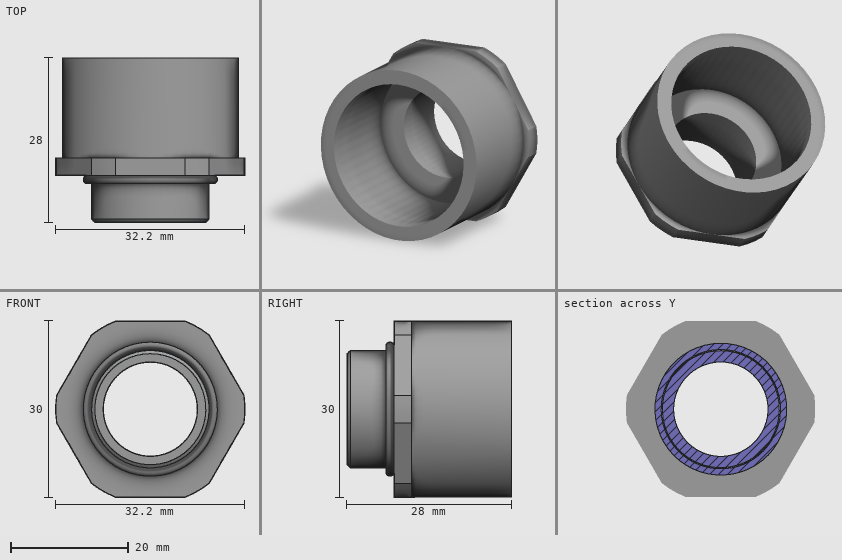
import cadquery as cq

across_flats = 30.0
across_corners = 32.25
body_diameter = across_flats
body_length = 17.0
flange_thickness = 3.0
spigot_diameter = 20.0
spigot_length = 8.0
spigot_chamfer = 0.55
bore_diameter = 16.0
socket_diameter = 25.0
ring_outer_diameter = 22.85
ring_overlap = 0.03

total_length = body_length + flange_thickness + spigot_length
flange_front = -total_length / 2 + spigot_length
flange_back = flange_front + flange_thickness


def cylinder(diameter, start, length):
    """Solid cylinder on the Y axis, from start towards +Y."""
    axis = cq.Vector(0, 1, 0)
    return cq.Workplane(cq.Solid.makeCylinder(diameter / 2, length, cq.Vector(0, start, 0), axis))


def make_flange():
    """Hexagon with horizontal flats, its corners turned down to a circle."""
    hexagon = (
        cq.Workplane("XZ", origin=(0, flange_back, 0))
        .polygon(6, across_flats, circumscribed=True)
        .extrude(flange_thickness)
        .rotate((0, 0, 0), (0, 1, 0), 30)
    )
    return hexagon.intersect(cylinder(across_corners, flange_front, flange_thickness))


def make_spigot():
    spigot = cylinder(spigot_diameter, -total_length / 2, spigot_length)
    return spigot.faces("<Y").chamfer(spigot_chamfer)


def make_sealing_ring():
    """Round-section ring seated in the corner of the spigot and flange."""
    section_radius = ((ring_outer_diameter - spigot_diameter) / 2 + ring_overlap) / 2
    center_radius = ring_outer_diameter / 2 - section_radius
    center_y = flange_front - section_radius + ring_overlap
    return cq.Workplane(
        cq.Solid.makeTorus(center_radius, section_radius, cq.Vector(0, center_y, 0), cq.Vector(0, 1, 0))
    )


body = cylinder(body_diameter, flange_back, body_length)
bore = cylinder(bore_diameter, -total_length / 2, total_length)
socket = cylinder(socket_diameter, flange_back, body_length)

result = body.union(make_flange()).union(make_spigot()).union(make_sealing_ring()).cut(bore).cut(socket)